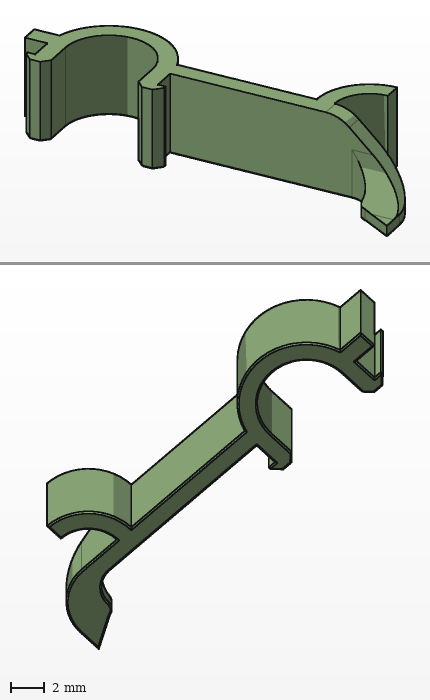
import cadquery as cq
import math

length = 26.05
height = 5.4
wall = 1.2
base_chamfer = 0.1

clip_x = 5.63
clip_inner_radius = 2.92
clip_outer_radius = clip_inner_radius + wall
leg_bottom = -2.27
barb_top = -1.55
barb_reach = 0.52
leg_chamfer = 0.5

hook_outer_radius = 3.55
hook_inner_radius = hook_outer_radius - wall
hook_end_x = 22.48
hook_inner_x = hook_end_x - hook_inner_radius

finger_outer_radius = 3.0
finger_inner_start_x = 21.9
finger_inner_radius = 1.5
finger_tip_y = -3.39
finger_edge_angle = math.radians(30)
finger_edge_start_x = 23.95

tip_thickness = 0.8
slope_top_x = 21.07
slope_blend_radius = 2.35
scoop_radius = 2.5


def extrude_up(sketch):
    return sketch.close().extrude(height)


def make_strip(start_x, end_x):
    return cq.Workplane("XY").box(end_x - start_x, wall, height, centered=False).translate((start_x, 0, 0))


def make_clip_arch():
    return extrude_up(
        cq.Workplane("XY")
        .moveTo(clip_x - clip_outer_radius, 0)
        .threePointArc((clip_x, clip_outer_radius), (clip_x + clip_outer_radius, 0))
        .lineTo(clip_x + clip_inner_radius, 0)
        .threePointArc((clip_x, clip_inner_radius), (clip_x - clip_inner_radius, 0))
    )


def make_clip_leg(side):
    """Barbed leg; side is -1 for the left leg and 1 for the right."""
    profile = [
        (clip_inner_radius, 0),
        (clip_outer_radius, 0),
        (clip_outer_radius, barb_top),
        (clip_outer_radius + barb_reach, barb_top),
        (clip_outer_radius + barb_reach, leg_bottom + barb_reach),
        (clip_outer_radius, leg_bottom),
        (clip_inner_radius + leg_chamfer, leg_bottom),
        (clip_inner_radius, leg_bottom + leg_chamfer),
    ]
    return extrude_up(cq.Workplane("XY").polyline([(clip_x + side * x, y) for x, y in profile]))


def make_hook():
    diagonal = math.sqrt(0.5)

    def arc_middle(radius):
        return (hook_end_x - radius * diagonal, wall + radius * diagonal)

    return extrude_up(
        cq.Workplane("XY")
        .moveTo(hook_end_x - hook_outer_radius, wall)
        .threePointArc(arc_middle(hook_outer_radius), (hook_end_x, wall + hook_outer_radius))
        .lineTo(hook_end_x, wall + hook_inner_radius)
        .threePointArc(arc_middle(hook_inner_radius), (hook_inner_x, wall))
    )


def make_finger():
    diagonal = math.sqrt(0.5)
    throat_x = finger_inner_start_x + finger_inner_radius
    edge_start_y = finger_tip_y + (length - finger_edge_start_x) * math.tan(finger_edge_angle)
    return extrude_up(
        cq.Workplane("XY")
        .moveTo(finger_inner_start_x, 0)
        .threePointArc(
            (finger_inner_start_x + finger_inner_radius * diagonal, finger_inner_radius * (diagonal - 1)),
            (throat_x, -finger_inner_radius),
        )
        .tangentArcPoint((finger_edge_start_x, edge_start_y), relative=False)
        .lineTo(length, finger_tip_y)
        .lineTo(length, wall - finger_outer_radius)
        .tangentArcPoint((length - finger_outer_radius, wall), relative=False)
        .lineTo(hook_inner_x, wall)
        .lineTo(hook_inner_x, 0)
    )


def make_slope_envelope():
    """Side outline kept by the slope, with a round blend at its upper end."""
    slope_angle = math.atan2(height - tip_thickness, length - slope_top_x)
    blend_length = slope_blend_radius * math.tan(slope_angle / 2)
    blend_end = (
        slope_top_x + blend_length * math.cos(slope_angle),
        height - blend_length * math.sin(slope_angle),
    )
    return (
        cq.Workplane("XZ", origin=(0, wall, 0))
        .moveTo(hook_inner_x, 0)
        .lineTo(hook_inner_x, height)
        .lineTo(slope_top_x - blend_length, height)
        .tangentArcPoint(blend_end, relative=False)
        .lineTo(length, tip_thickness)
        .lineTo(length, 0)
        .close()
        .extrude(wall - finger_tip_y)
    )


def make_scoop():
    """Space above the fingertip, with a concave rise to the strip face."""
    scoop_top = tip_thickness + scoop_radius
    diagonal = math.sqrt(0.5)
    return (
        cq.Workplane("YZ", origin=(hook_inner_x, 0, 0))
        .moveTo(0, height)
        .lineTo(0, scoop_top)
        .threePointArc(
            (scoop_radius * (diagonal - 1), scoop_top - scoop_radius * diagonal),
            (-scoop_radius, tip_thickness),
        )
        .lineTo(finger_tip_y, tip_thickness)
        .lineTo(finger_tip_y, height)
        .close()
        .extrude(length - hook_inner_x)
    )


strips = make_strip(0, clip_x).union(make_strip(clip_x, hook_inner_x))
clip_opening = cq.Workplane("XY").center(clip_x, 0).circle(clip_inner_radius).extrude(height)
finger = make_finger().intersect(make_slope_envelope()).cut(make_scoop())

result = strips.cut(clip_opening).union(make_clip_arch())
for leg_side in (-1, 1):
    result = result.union(make_clip_leg(leg_side))
result = result.union(make_hook()).union(finger)

result = result.clean().faces("<Z").chamfer(base_chamfer)